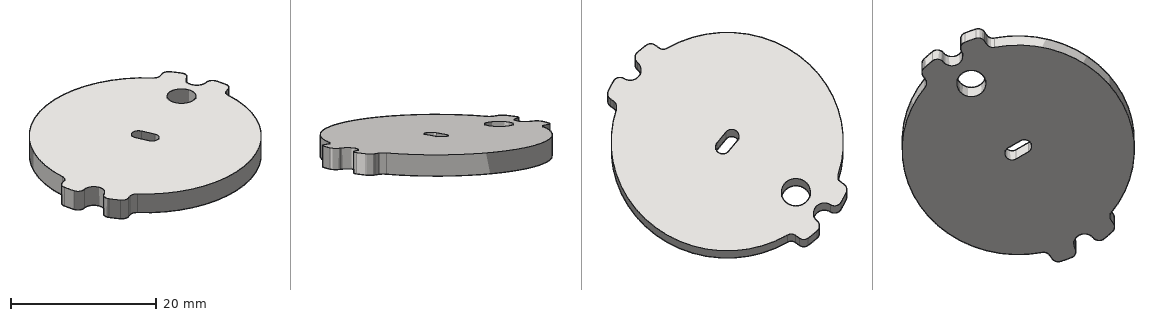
import cadquery as cq
import math

disc_radius = 16.0
thickness = 3.0
overall_length = 35.63
ear_width = 10.0
notch_radius = 1.5
notch_offset = 17.0
corner_radius = 1.0
hole_diameter = 4.0
hole_offset = 12.0
slot_length = 4.0
slot_width = slot_length / 2

lip_center_y = overall_length / 2 - corner_radius
lip_center_x = math.sqrt((notch_radius + corner_radius) ** 2 - (notch_offset - lip_center_y) ** 2)
ear_radius = math.hypot(lip_center_x, lip_center_y) + corner_radius


def cylinder(radius, y=0):
    """Full-thickness cylinder centred on the Y axis of the disc."""
    return cq.Workplane("XY").center(0, y).circle(radius).extrude(thickness)


ear_bar = cq.Workplane("XY").rect(ear_width, 2 * overall_length).extrude(thickness)
ears = cylinder(ear_radius).intersect(ear_bar)
plate = cylinder(disc_radius).union(ears)
for side in (1, -1):
    plate = plate.cut(cylinder(notch_radius, side * notch_offset))

ear_zone = cq.selectors.BoxSelector(
    (-ear_width, -ear_radius, -thickness),
    (ear_width, ear_radius, 2 * thickness),
)
corners = plate.edges("|Z").edges(ear_zone)
plate = corners.fillet(corner_radius)

plate = plate.cut(cylinder(hole_diameter / 2, hole_offset))
slot = cq.Workplane("XY").slot2D(slot_length, slot_width).extrude(thickness)
result = plate.cut(slot)